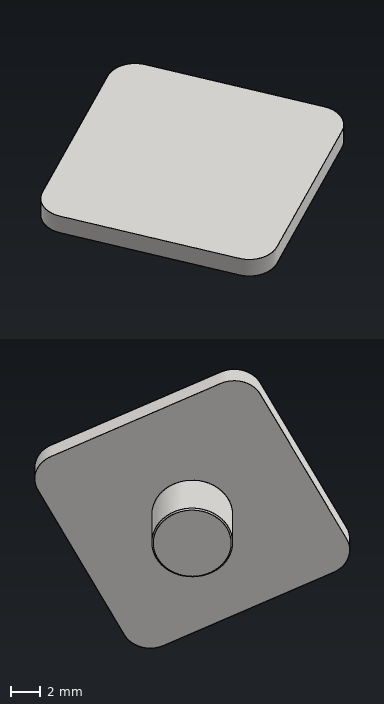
import cadquery as cq

plate_side = 17.0
plate_thickness = 1.5
corner_radius = 2.0

total_height = 5.2
stem_diameter = 5.5
stem_chamfer = 0.1
stem_length = total_height - plate_thickness


def make_plate():
    """Square plate with rounded vertical corners, resting on Z = 0."""
    plate = cq.Workplane("XY").box(
        plate_side, plate_side, plate_thickness, centered=(True, True, False)
    )
    return plate.edges("|Z").fillet(corner_radius)


def make_stem():
    """Cylinder hanging below Z = 0 with a chamfered lower rim."""
    stem = cq.Workplane("XY").circle(stem_diameter / 2).extrude(-stem_length)
    return stem.faces("<Z").edges().chamfer(stem_chamfer)


result = make_plate().union(make_stem())